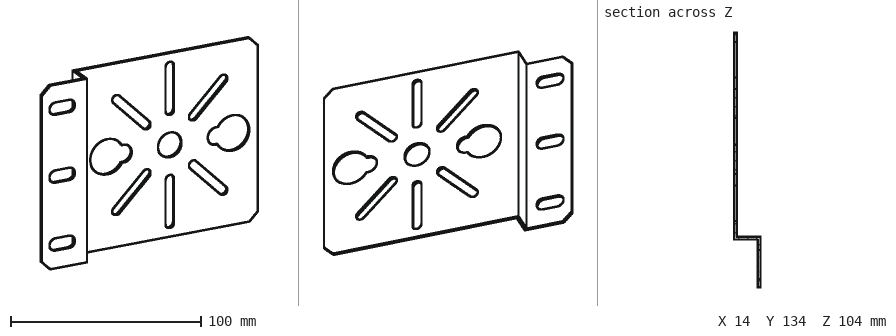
import cadquery as cq

LENGTH = 134.0
HEIGHT = 104.0
STEP_DEPTH = 14.0
SHEET = 1.5
CORNER_CHAMFER = 5.0
STEP_FACE_FROM_FLANGE_END = 25.2

HUB_Y = LENGTH / 2 - HEIGHT / 2
HUB_DIAMETER = 14.0
RADIAL_SLOT_WIDTH = 5.0
RADIAL_SLOT_LENGTH = 30.0
RADIAL_SLOT_MIDDLE = 32.0
RADIAL_SLOT_ANGLES = (45, 90, 135, 225, 270, 315)
KEYHOLE_HEAD_DIAMETER = 20.0
KEYHOLE_HEAD_OFFSET = 37.0
KEYHOLE_NECK_DIAMETER = 10.0
KEYHOLE_NECK_OFFSET = 27.5

FLANGE_SLOT_LENGTH = 15.0
FLANGE_SLOT_WIDTH = 7.0
FLANGE_SLOT_FROM_END = 12.0
FLANGE_SLOT_SPACING = 38.5

PLATE_X = -STEP_DEPTH / 2
FLANGE_X = STEP_DEPTH / 2 - SHEET
PLATE_END = LENGTH / 2
FLANGE_END = -LENGTH / 2
STEP_FACE = FLANGE_END + STEP_FACE_FROM_FLANGE_END


def bent_sheet():
    """Z-shaped sheet section, with the four free corners cut off."""
    profile = [
        (PLATE_X, PLATE_END),
        (PLATE_X, STEP_FACE),
        (FLANGE_X, STEP_FACE),
        (FLANGE_X, FLANGE_END),
        (FLANGE_X + SHEET, FLANGE_END),
        (FLANGE_X + SHEET, STEP_FACE + SHEET),
        (PLATE_X + SHEET, STEP_FACE + SHEET),
        (PLATE_X + SHEET, PLATE_END),
    ]
    sheet = cq.Workplane("XY").polyline(profile).close().extrude(HEIGHT / 2, both=True)
    sheet = sheet.faces("<Y").edges("|X").chamfer(CORNER_CHAMFER)
    return sheet.faces(">Y").edges("|X").chamfer(CORNER_CHAMFER)


def cutting_plane(sheet_x):
    """Sketch plane on the -X face of a sheet: local x is Y and local y is Z."""
    return cq.Workplane("YZ", origin=(sheet_x, 0, 0))


def hub_plane():
    """Sketch plane on the plate, centred on the hub."""
    return cutting_plane(PLATE_X).center(HUB_Y, 0)


def round_opening(offset, diameter):
    """Round cutter through the plate, offset along Y from the hub."""
    return hub_plane().moveTo(offset, 0).circle(diameter / 2).extrude(SHEET)


def radial_slot(angle):
    """Slot cutter through the plate, pointing away from the hub."""
    return (
        hub_plane()
        .polarArray(RADIAL_SLOT_MIDDLE, angle, 360, 1)
        .slot2D(RADIAL_SLOT_LENGTH, RADIAL_SLOT_WIDTH)
        .extrude(SHEET)
    )


def plate_openings():
    """Hub hole, facing keyholes and radial slots."""
    openings = round_opening(0, HUB_DIAMETER)
    for side in (-1, 1):
        openings = openings.union(round_opening(side * KEYHOLE_HEAD_OFFSET, KEYHOLE_HEAD_DIAMETER))
        openings = openings.union(round_opening(side * KEYHOLE_NECK_OFFSET, KEYHOLE_NECK_DIAMETER))
    for angle in RADIAL_SLOT_ANGLES:
        openings = openings.union(radial_slot(angle))
    return openings


def flange_openings():
    """Three mounting slots stacked along Z."""
    return (
        cutting_plane(FLANGE_X)
        .center(FLANGE_END + FLANGE_SLOT_FROM_END, 0)
        .rarray(1.3, FLANGE_SLOT_SPACING, 1, 3)
        .slot2D(FLANGE_SLOT_LENGTH, FLANGE_SLOT_WIDTH)
        .extrude(SHEET)
    )


result = bent_sheet().cut(plate_openings()).cut(flange_openings())